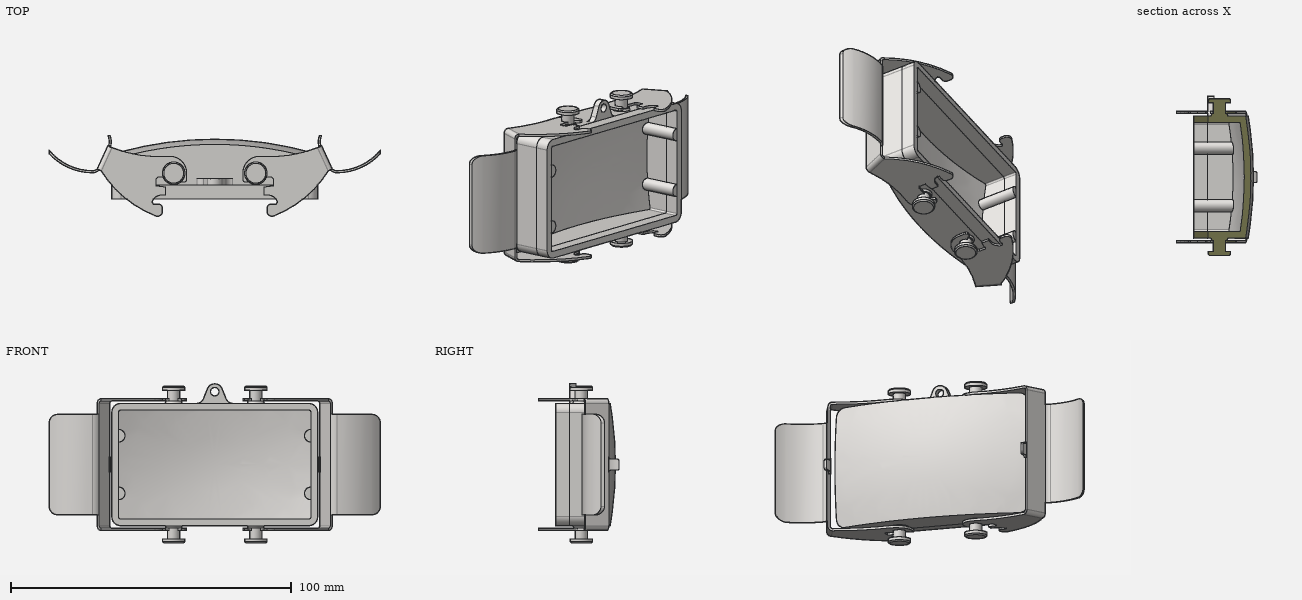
import cadquery as cq
import math


box_half_x = 36.7
box_half_z = 21.8
wall = 2.5
corner_radius = 3.3
cavity_corner_radius = 0.6
frame_depth = 5.0

dome_apex_y = 16.4
dome_radius = 126.8
dome_wall = 2.5

peg_diameter = 4.5
peg_z = 10.3

pin_x = 14.6
pin_y = 4.2
pin_diameter = 4.5
pin_end_z = 28.0
head_diameter = 8.0
head_height = 1.5
head_chamfer = 0.5
boss_base_diameter = 6.1
boss_top_diameter = 5.4

ear_hole_diameter = 3.0
ear_top_z = 28.8
ear_radius = 2.8
ear_thickness = 2.4
ear_foot_half_width = 4.7
ear_foot_fillet = 2.5

sheet = 0.8
lever_half_z = 23.5
bend_radius = 1.7
wing_half_z = 17.9
wing_corner_radius = 3.1
wing_tip = (-59.0, 11.2)
wing_low_point = (-43.5, 4.4)
wing_bend_middle = (-42.7, 5.3)
web_front = (-41.9, 5.8)
web_back = (-38.1, 14.0)
tab_half_z = 2.0
tab_end_y = 17.7
tab_bow = 0.5
tab_corner_radius = 0.7
tab_foot_radius = 0.7
hook_radius = 5.9
hook_reach = 4.6

cavity_half_x = box_half_x - wall
cavity_half_z = box_half_z - wall
web_tilt = math.atan2(web_back[0] - web_front[0], web_back[1] - web_front[1])


def block(half_x, half_z, y_start, y_end, radius):
    """Upright rectangular prism along Y with rounded corners."""
    plane = cq.Workplane("XZ", origin=(0, y_start, 0))
    return plane.rect(2 * half_x, 2 * half_z).extrude(y_start - y_end).edges("|Y").fillet(radius)


def dome_ball(radius):
    """Ball whose rear pole forms a dome on the Y axis, concentric with the outer dome."""
    ball = cq.Workplane("XY").sphere(radius).rotate((0, 0, 0), (1, 0, 0), -90)
    return ball.translate((0, dome_apex_y - dome_radius, 0))


def domed_block(half_x, half_z, y_start, radius, ball_radius):
    """Rounded prism whose rear end is cut to a dome."""
    return block(half_x, half_z, y_start, dome_apex_y, radius).intersect(dome_ball(ball_radius))


def make_pegs():
    """Half-round pegs along the short cavity walls, from the dome to the front rim."""
    places = [(x, z) for x in (-cavity_half_x, cavity_half_x) for z in (-peg_z, peg_z)]
    pegs = cq.Workplane("XZ", origin=(0, -frame_depth, 0)).pushPoints(places).circle(peg_diameter / 2)
    pegs = pegs.extrude(-(frame_depth + dome_apex_y))
    room = domed_block(
        cavity_half_x, cavity_half_z, -frame_depth, cavity_corner_radius, dome_radius - dome_wall / 2
    )
    return pegs.intersect(room)


def make_pin(x):
    """Upper headed pin standing on a short conical boss."""
    root_z = cavity_half_z + wall / 2
    boss_top_z = lever_half_z - sheet
    head_base_z = pin_end_z - head_height
    return (
        cq.Workplane("XZ", origin=(x, pin_y, 0))
        .moveTo(0, root_z)
        .lineTo(boss_base_diameter / 2, root_z)
        .lineTo(boss_base_diameter / 2, box_half_z)
        .lineTo(boss_top_diameter / 2, boss_top_z)
        .lineTo(pin_diameter / 2, boss_top_z)
        .lineTo(pin_diameter / 2, head_base_z)
        .lineTo(head_diameter / 2, head_base_z)
        .lineTo(head_diameter / 2, pin_end_z - head_chamfer)
        .lineTo(head_diameter / 2 - head_chamfer, pin_end_z)
        .lineTo(0, pin_end_z)
        .close()
        .revolve(360, (0, 0), (0, 1))
    )


def make_ear():
    """Flat ear with a round end and a hole, its sides tangent to the round end."""
    centre_z = ear_top_z - ear_radius
    root_z = cavity_half_z + wall / 2
    height = centre_z - box_half_z
    reach = math.hypot(ear_foot_half_width, height)
    tangent_angle = math.acos(ear_radius / reach) - math.atan2(height, ear_foot_half_width)
    tangent_x = ear_radius * math.cos(tangent_angle)
    tangent_z = centre_z + ear_radius * math.sin(tangent_angle)
    ear = (
        cq.Workplane("XZ")
        .moveTo(-ear_foot_half_width, box_half_z)
        .lineTo(-tangent_x, tangent_z)
        .threePointArc((0, ear_top_z), (tangent_x, tangent_z))
        .lineTo(ear_foot_half_width, box_half_z)
        .lineTo(ear_foot_half_width, root_z)
        .lineTo(-ear_foot_half_width, root_z)
        .close()
        .extrude(-ear_thickness)
    )
    hole = cq.Workplane("XZ").center(0, centre_z).circle(ear_hole_diameter / 2).extrude(-ear_thickness)
    return ear.cut(hole)


def make_cover():
    """Domed shell with pegs, four lever pins and the ear with its concave feet."""
    shell = domed_block(box_half_x, box_half_z, 0, corner_radius, dome_radius)
    shell = shell.union(make_ear())
    margin = 0.1
    feet = cq.selectors.BoxSelector(
        (-ear_foot_half_width - margin, margin, box_half_z - margin),
        (ear_foot_half_width + margin, ear_thickness - margin, box_half_z + margin),
    )
    shell = shell.edges("|Y").edges(feet).fillet(ear_foot_fillet)
    shell = shell.cut(
        domed_block(cavity_half_x, cavity_half_z, 0, cavity_corner_radius, dome_radius - dome_wall)
    )
    for x in (-pin_x, pin_x):
        pin = make_pin(x)
        shell = shell.union(pin).union(pin.mirror("XY"))
    return shell.union(make_pegs())


def make_frame():
    """Plain ring in front of the cover."""
    ring = block(box_half_x, box_half_z, -frame_depth, 0, corner_radius)
    opening = block(cavity_half_x, cavity_half_z, -frame_depth, 0, cavity_corner_radius)
    return ring.cut(opening)


def make_arm_prism():
    """Side outline of the hooked arms, as a prism over the full lever height."""
    hook_centre_x = -pin_x - (hook_radius - hook_reach)
    hook_side_x = hook_centre_x + hook_radius
    hook_diagonal = hook_radius * math.sqrt(0.5)
    hook_top_y = 4.4 + hook_radius
    hook_centre_y = hook_top_y - hook_radius
    seat_diagonal = pin_diameter / 2 * math.sqrt(0.5)
    hook_tip_y = 1.1
    jaw_y = 2.8
    jaw_x = -pin_x - math.sqrt((pin_diameter / 2) ** 2 - (pin_y - jaw_y) ** 2)
    slot_end_x = -20.9
    finger_tip_x = -17.5
    finger_front_y = -3.5
    notch_front_y = -6.7
    nose_x = -18.6
    return (
        cq.Workplane("XY", origin=(0, 0, -lever_half_z))
        .moveTo(*web_back)
        .threePointArc((-29.0, 11.1), (hook_centre_x, hook_top_y))
        .threePointArc(
            (hook_centre_x + hook_diagonal, hook_centre_y + hook_diagonal),
            (hook_side_x, hook_centre_y),
        )
        .lineTo(hook_side_x, 1.7)
        .lineTo(-10.6, hook_tip_y)
        .lineTo(-11.8, hook_tip_y)
        .lineTo(-pin_x + seat_diagonal, pin_y - seat_diagonal)
        .threePointArc((-pin_x, pin_y + pin_diameter / 2), (jaw_x, jaw_y))
        .lineTo(-20.3, jaw_y)
        .lineTo(slot_end_x, 2.2)
        .lineTo(slot_end_x, -0.2)
        .lineTo(finger_tip_x, -0.7)
        .lineTo(finger_tip_x, finger_front_y)
        .lineTo(-19.1, finger_front_y)
        .threePointArc((-21.3, -4.5), (-22.3, -6.1))
        .lineTo(-21.8, notch_front_y)
        .lineTo(-20.0, notch_front_y)
        .threePointArc((-19.05, -7.13), (nose_x, -8.1))
        .lineTo(nose_x, -9.7)
        .threePointArc((-19.5, -10.8), (-21.2, -10.91))
        .threePointArc((-32.1, -4.5), (-40.5, 5.1))
        .lineTo(*web_front)
        .close()
        .extrude(2 * lever_half_z)
    )


def make_tilted_block(depth, half_z, radius):
    """Long block set in from the web plane by depth, with the long edges of its web side rounded."""
    block_size = 117.9
    tilted = cq.Workplane("XY").box(block_size, block_size, 2 * half_z, centered=(False, True, True))
    tilted = tilted.edges("<X and |Y").fillet(radius)
    tilted = tilted.translate((depth, 0, 0)).rotate((0, 0, 0), (0, 0, 1), -math.degrees(web_tilt))
    return tilted.translate((*web_front, 0))


def make_channel():
    """Two arms joined by the slanted web, as one bent sheet."""
    outside = make_tilted_block(0, lever_half_z, bend_radius)
    inside = make_tilted_block(sheet, lever_half_z - sheet, bend_radius - sheet)
    return make_arm_prism().intersect(outside).cut(inside)


def make_wing():
    """Curved finger grip, bent out of the front edge of the web, with round tip corners."""
    low_x, low_y = wing_low_point
    tip_x, tip_y = wing_tip
    sweep = 2 * math.atan2(tip_y - low_y, low_x - tip_x)
    outer_radius = (low_x - tip_x) / math.sin(sweep)
    inner_radius = outer_radius - sheet
    inner_sweep = math.asin((low_x - tip_x) / inner_radius)

    def on_arc(radius, angle):
        return (low_x - radius * math.sin(angle), low_y + outer_radius - radius * math.cos(angle))

    along = (sheet * math.sin(web_tilt), sheet * math.cos(web_tilt))
    web_outside = web_front
    web_inside = (web_front[0] + along[1], web_front[1] - along[0])

    wing = (
        cq.Workplane("XY", origin=(0, 0, -wing_half_z))
        .moveTo(web_outside[0] + along[0], web_outside[1] + along[1])
        .lineTo(*web_outside)
        .threePointArc(wing_bend_middle, (low_x, low_y + sheet))
        .threePointArc(on_arc(inner_radius, inner_sweep / 2), on_arc(inner_radius, inner_sweep))
        .lineTo(*wing_tip)
        .threePointArc(on_arc(outer_radius, sweep / 2), (low_x, low_y))
        .tangentArcPoint(web_inside, relative=False)
        .lineTo(web_inside[0] + along[0], web_inside[1] + along[1])
        .close()
        .extrude(2 * wing_half_z)
    )
    return wing.intersect(block(-tip_x, wing_half_z, low_y - sheet, dome_apex_y, wing_corner_radius))


def make_tab():
    """Bowed tab on the rear edge of the web, with round end corners and flared feet."""
    foot_y = web_back[1]
    root_y = foot_y - sheet
    middle_y = (root_y + tab_end_y) / 2
    left = web_back[0]
    right = left + sheet
    foot_half_z = tab_half_z + tab_foot_radius
    strip = (
        cq.Workplane("XY", origin=(0, 0, -foot_half_z))
        .moveTo(left, root_y)
        .threePointArc((left + tab_bow, middle_y), (left, tab_end_y))
        .lineTo(right, tab_end_y)
        .threePointArc((right + tab_bow, middle_y), (right, root_y))
        .close()
        .extrude(2 * foot_half_z)
    )
    half_outline = (
        cq.Workplane("YZ", origin=(left - sheet, 0, 0))
        .moveTo(root_y, 0)
        .lineTo(root_y, foot_half_z)
        .lineTo(foot_y, foot_half_z)
        .radiusArc((foot_y + tab_foot_radius, tab_half_z), -tab_foot_radius)
        .lineTo(tab_end_y - tab_corner_radius, tab_half_z)
        .radiusArc((tab_end_y, tab_half_z - tab_corner_radius), tab_corner_radius)
        .lineTo(tab_end_y, 0)
        .close()
        .extrude(4 * sheet)
    )
    return strip.intersect(half_outline.union(half_outline.mirror("XY")))


def make_lever():
    """Left lever: channel, finger wing and rear tab in one piece."""
    return make_channel().union(make_wing()).union(make_tab())


cover = make_cover()
frame = make_frame()
left_lever = make_lever()
right_lever = left_lever.mirror("YZ")
result = cq.Compound.makeCompound([cover.val(), frame.val(), left_lever.val(), right_lever.val()])